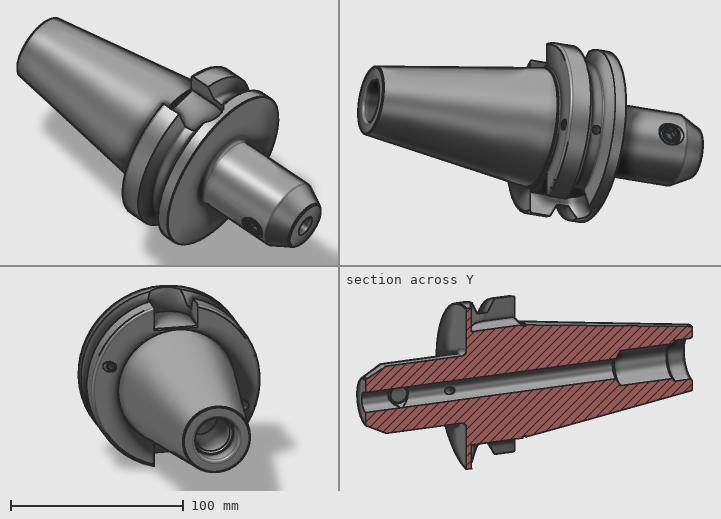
import cadquery as cq
import math

LENGTH = 201.8
TOLERANCE = 0.002

TAPER_LENGTH = 102.5
TAPER_SLOPE = 7 / 48
TAPER_LARGE_RADIUS = 35.0
TAPER_SMALL_RADIUS = TAPER_LARGE_RADIUS - TAPER_SLOPE * TAPER_LENGTH
TAPER_END_CHAMFER = 0.6
NECK_RADIUS = 34.3
NECK_FILLET = 1.0
NECK_BEVEL = TAPER_LARGE_RADIUS - NECK_RADIUS

FLANGE_START = 104.7
FLANGE_END = 139.6
FLANGE_RADIUS = 50.0
FLANGE_FRONT_FILLET = 1.5
FLANGE_REAR_CHAMFER = 0.5
GROOVE_RADIUS = 42.4
GROOVE_CENTER = 125.0
GROOVE_FLOOR_WIDTH = 6.5
GROOVE_FILLET = 0.8
GROOVE_FLANK_ANGLE = 60

NOSE_RADIUS = 21.0
NOSE_FILLET = 2.8
NOSE_TAPER_START = 188.9
NOSE_TAPER_FILLET = 1.2
NOSE_END_RADIUS = 14.7
NOSE_END_CHAMFER = 0.8

TOOL_BORE_RADIUS = 6.0
PILOT_RADIUS = 12.5
PILOT_DEPTH = 11.0
PILOT_MOUTH_FILLET = 1.8
THREAD_MOUTH_RADIUS = 12.0
THREAD_RADIUS = 10.7
THREAD_DEPTH = 44.4
DRILL_POINT_HALF_ANGLE = 60

SLOT_WIDTH = 25.8
SLOT_END = 136.2
SLOT_FLOOR = 35.3
SLOT_BEVEL = 0.8

COOLANT_AZIMUTH = 20
COOLANT_RADIUS = 3.0
COOLANT_ENTRY = 42.0
COOLANT_TILT = 40
COOLANT_STEP_DEPTH = 2.8
COOLANT_CORE_RADIUS = 2.0
CROSS_HOLE_RADIUS = 2.5

SCREW_POSITION = 179.2
SCREW_RADIUS = 6.0
SCREW_INNER_END = 5.5
SCREW_OUTER_END = 20.2
SCREW_CHAMFER = 1.0
HEX_ACROSS_FLATS = 6.0
HEX_DEPTH = 5.0
SOCKET_MOUTH_RADIUS = 4.0
COUNTERSINK_RADIUS = 7.7


def revolve_about_x(profile):
    """Revolve a closed (X, radius) profile about the tool axis."""
    return profile.close().revolve(360, (0, 0, 0), (1, 0, 0))


def round_edge(turned, x, radius, fillet):
    """Fillet the circular edge of a turned shape that lies at X = x with this radius."""

    def is_wanted(edge):
        return (
            edge.geomType() == "CIRCLE"
            and math.isclose(edge.Center().x, x, abs_tol=TOLERANCE)
            and math.isclose(edge.radius(), radius, abs_tol=TOLERANCE)
        )

    return turned.edges().filter(is_wanted).fillet(fillet)


def make_blank():
    """Outer turned shape: taper, neck, grooved flange and nose."""
    flank_height = FLANGE_RADIUS - GROOVE_RADIUS
    flank_width = flank_height / math.tan(math.radians(GROOVE_FLANK_ANGLE))
    floor_start = GROOVE_CENTER - GROOVE_FLOOR_WIDTH / 2
    floor_end = GROOVE_CENTER + GROOVE_FLOOR_WIDTH / 2
    profile = (
        cq.Workplane("XZ")
        .moveTo(0, 0)
        .lineTo(0, TAPER_SMALL_RADIUS - TAPER_END_CHAMFER)
        .lineTo(TAPER_END_CHAMFER, TAPER_SMALL_RADIUS + TAPER_SLOPE * TAPER_END_CHAMFER)
        .lineTo(TAPER_LENGTH, TAPER_LARGE_RADIUS)
        .lineTo(TAPER_LENGTH + NECK_BEVEL, NECK_RADIUS)
        .lineTo(FLANGE_START, NECK_RADIUS)
        .lineTo(FLANGE_START, FLANGE_RADIUS)
        .lineTo(floor_start - flank_width, FLANGE_RADIUS)
        .lineTo(floor_start, GROOVE_RADIUS)
        .lineTo(floor_end, GROOVE_RADIUS)
        .lineTo(floor_end + flank_width, FLANGE_RADIUS)
        .lineTo(FLANGE_END - FLANGE_REAR_CHAMFER, FLANGE_RADIUS)
        .lineTo(FLANGE_END, FLANGE_RADIUS - FLANGE_REAR_CHAMFER)
        .lineTo(FLANGE_END, NOSE_RADIUS)
        .lineTo(NOSE_TAPER_START, NOSE_RADIUS)
        .lineTo(LENGTH - NOSE_END_CHAMFER, NOSE_END_RADIUS)
        .lineTo(LENGTH, NOSE_END_RADIUS - NOSE_END_CHAMFER)
        .lineTo(LENGTH, 0)
    )
    rounded_edges = (
        (FLANGE_START, NECK_RADIUS, NECK_FILLET),
        (FLANGE_START, FLANGE_RADIUS, FLANGE_FRONT_FILLET),
        (floor_start, GROOVE_RADIUS, GROOVE_FILLET),
        (floor_end, GROOVE_RADIUS, GROOVE_FILLET),
        (FLANGE_END, NOSE_RADIUS, NOSE_FILLET),
        (NOSE_TAPER_START, NOSE_RADIUS, NOSE_TAPER_FILLET),
    )
    blank = revolve_about_x(profile)
    for x, radius, fillet in rounded_edges:
        blank = round_edge(blank, x, radius, fillet)
    return blank


def make_bore():
    """Stepped bore: pull-stud pilot, thread core, drill point and through tool bore."""
    point_length = (THREAD_RADIUS - TOOL_BORE_RADIUS) / math.tan(math.radians(DRILL_POINT_HALF_ANGLE))
    profile = (
        cq.Workplane("XZ")
        .moveTo(0, 0)
        .lineTo(0, PILOT_RADIUS + PILOT_MOUTH_FILLET)
        .radiusArc((PILOT_MOUTH_FILLET, PILOT_RADIUS), -PILOT_MOUTH_FILLET)
        .lineTo(PILOT_DEPTH, PILOT_RADIUS)
        .lineTo(PILOT_DEPTH, THREAD_MOUTH_RADIUS)
        .lineTo(PILOT_DEPTH + THREAD_MOUTH_RADIUS - THREAD_RADIUS, THREAD_RADIUS)
        .lineTo(THREAD_DEPTH, THREAD_RADIUS)
        .lineTo(THREAD_DEPTH + point_length, TOOL_BORE_RADIUS)
        .lineTo(LENGTH, TOOL_BORE_RADIUS)
        .lineTo(LENGTH, 0)
    )
    return revolve_about_x(profile)


def make_drive_slot(side):
    """Cutter for a round-ended drive slot on the +Z (side = 1) or -Z (side = -1) face."""
    end_center = SLOT_END - SLOT_WIDTH / 2
    half_width = SLOT_WIDTH / 2
    channel = (
        cq.Workplane("XY", origin=(0, 0, side * SLOT_FLOOR))
        .moveTo(TAPER_LENGTH, -half_width)
        .lineTo(end_center, -half_width)
        .threePointArc((SLOT_END, 0), (end_center, half_width))
        .lineTo(TAPER_LENGTH, half_width)
        .close()
        .extrude(side * FLANGE_RADIUS)
    )
    bevel = (
        cq.Workplane("XZ")
        .moveTo(FLANGE_START, side * SLOT_FLOOR)
        .lineTo(FLANGE_START, side * (SLOT_FLOOR - SLOT_BEVEL))
        .lineTo(FLANGE_START + SLOT_BEVEL, side * SLOT_FLOOR)
        .close()
        .extrude(half_width, both=True)
    )
    return channel.union(bevel)


def make_coolant_passage(azimuth):
    """Inclined hole from the flange face to the tool bore, with its cross hole from the groove."""
    tilt = math.radians(COOLANT_TILT)
    direction = cq.Vector(math.cos(tilt), math.sin(tilt), 0)
    entry = cq.Vector(FLANGE_START, -COOLANT_ENTRY, 0)
    lead_in = 2 * COOLANT_RADIUS
    mouth = cq.Solid.makeCylinder(
        COOLANT_RADIUS,
        lead_in + COOLANT_STEP_DEPTH,
        entry - direction * lead_in,
        direction,
    )
    core_length = COOLANT_ENTRY / math.sin(tilt)
    core = cq.Solid.makeCylinder(COOLANT_CORE_RADIUS, core_length, entry, direction)
    crossing = COOLANT_ENTRY - (GROOVE_CENTER - FLANGE_START) * math.tan(tilt)
    cross_hole = cq.Solid.makeCylinder(
        CROSS_HOLE_RADIUS,
        FLANGE_RADIUS - crossing,
        cq.Vector(GROOVE_CENTER, -FLANGE_RADIUS, 0),
        cq.Vector(0, 1, 0),
    )
    passage = cq.Workplane(mouth).union(cq.Workplane(core)).union(cq.Workplane(cross_hole))
    return passage.rotate((0, 0, 0), (1, 0, 0), azimuth)


def make_screw_hole():
    """Countersunk hole from the -Y side of the nose to the tool bore."""
    cone_depth = COUNTERSINK_RADIUS - SCREW_RADIUS
    profile = (
        cq.Workplane("XY", origin=(SCREW_POSITION, 0, 0))
        .moveTo(0, 0)
        .lineTo(SCREW_RADIUS, 0)
        .lineTo(SCREW_RADIUS, cone_depth - NOSE_RADIUS)
        .lineTo(COUNTERSINK_RADIUS, -NOSE_RADIUS)
        .lineTo(0, -NOSE_RADIUS)
        .close()
    )
    return profile.revolve(360, (0, 0, 0), (0, 1, 0))


def make_holder():
    """Tool holder with every bore, slot and passage cut."""
    holder = make_blank().cut(make_bore())
    for side in (1, -1):
        holder = holder.cut(make_drive_slot(side))
    for azimuth in (COOLANT_AZIMUTH, COOLANT_AZIMUTH + 180):
        holder = holder.cut(make_coolant_passage(azimuth))
    return holder.cut(make_screw_hole())


def make_clamping_screw():
    """Headless screw with chamfered ends and a hexagon socket in its outer end."""
    screw = (
        cq.Workplane("XZ", origin=(SCREW_POSITION, -SCREW_INNER_END, 0))
        .circle(SCREW_RADIUS)
        .extrude(SCREW_OUTER_END - SCREW_INNER_END)
        .faces("<Y or >Y")
        .chamfer(SCREW_CHAMFER)
    )
    hex_across_corners = HEX_ACROSS_FLATS / math.cos(math.radians(30))
    socket = (
        cq.Workplane("XZ", origin=(SCREW_POSITION, HEX_DEPTH - SCREW_OUTER_END, 0))
        .polygon(6, hex_across_corners)
        .extrude(HEX_DEPTH)
    )
    mouth = cq.Workplane(
        cq.Solid.makeCone(
            SOCKET_MOUTH_RADIUS,
            0,
            SOCKET_MOUTH_RADIUS,
            cq.Vector(SCREW_POSITION, -SCREW_OUTER_END, 0),
            cq.Vector(0, 1, 0),
        )
    )
    return screw.cut(socket).cut(mouth)


holder = make_holder()
clamping_screw = make_clamping_screw()

result = cq.Compound.makeCompound([holder.val(), clamping_screw.val()])